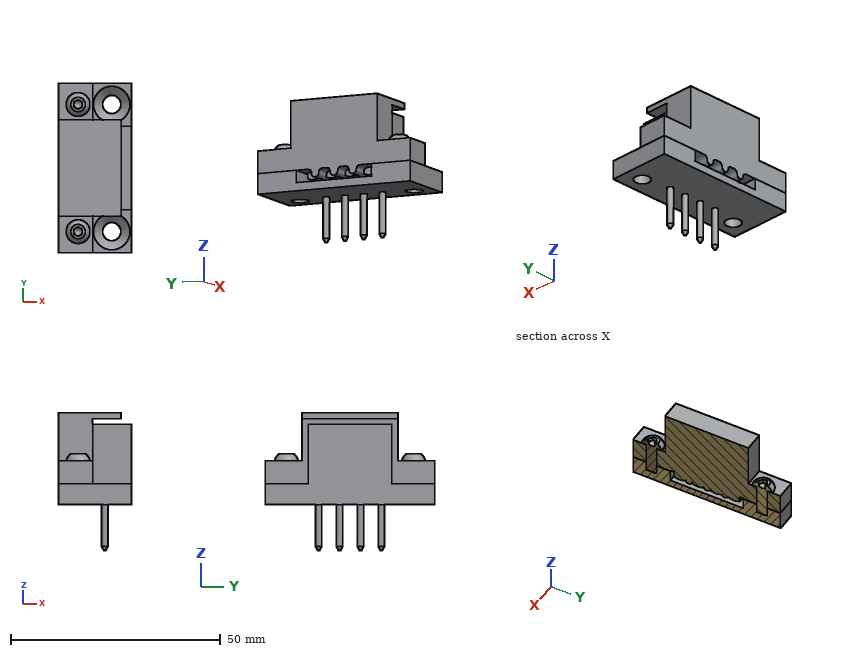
import cadquery as cq
import math

base_depth = 17.5
base_width = 40.6
base_height = 5.0

cover_depth = 8.2
ear_height = 5.5
hood_width = 23.0
hood_top = 22.0
lip_thickness = 1.5
lip_reach = 15.0

block_width = 20.0
block_top = 19.2

slot_width = block_width
slot_floor = 2.0

wire_count = 4
wire_pitch = 5.0
pin_x = 11.1
pin_diameter = 1.6
pin_tip_diameter = 0.5
pin_tip_length = 1.0
pin_length_below_base = 11.0

ridge_diameter = 2.0
ridge_drop = 2.0

pad_width = wire_pitch - ridge_diameter
pad_drop = 1.8
pad_bottom_radius = 3.5
pad_length = cover_depth / 2

fastener_y = 15.2
screw_x = 4.7
shank_diameter = 3.0
shank_length = 8.0
head_diameter = 5.7
head_top_diameter = 3.45
head_height = 1.65
head_bulge = 0.2
socket_across_flats = 2.0
socket_depth = 1.1
drill_point_angle = 120.0
mount_x = 12.75
mount_diameter = 4.3
countersink_diameter = 8.7
countersink_angle = 90.0

ear_top = base_height + ear_height
wire_places = [wire_pitch * (i - (wire_count - 1) / 2) for i in range(wire_count)]
ridge_root_radius = ridge_drop - ridge_diameter / 2
ridge_places = [y + wire_pitch / 2 for y in wire_places[:-1]]
fastener_places = [-fastener_y, fastener_y]


def block(x_range, width, z_range):
    """Box between two x and two z values, centred on y = 0."""
    return cq.Workplane("XY").box(
        x_range[1] - x_range[0], width, z_range[1] - z_range[0], centered=(False, True, False)
    ).translate((x_range[0], 0, z_range[0]))


def make_shank(y):
    return (
        cq.Workplane("XY", origin=(screw_x, y, ear_top - shank_length))
        .circle(shank_diameter / 2)
        .extrude(shank_length)
    )


def make_head():
    """Button head standing on z = 0, with a domed side and a flat top."""
    outer = head_diameter / 2
    inner = head_top_diameter / 2
    slope = math.hypot(outer - inner, head_height)
    dome_mid = (
        (outer + inner) / 2 + head_bulge * head_height / slope,
        head_height / 2 + head_bulge * (outer - inner) / slope,
    )
    return (
        cq.Workplane("XZ")
        .lineTo(outer, 0)
        .threePointArc(dome_mid, (inner, head_height))
        .lineTo(0, head_height)
        .close()
        .revolve(360, (0, 0), (0, 1))
    )


def make_socket():
    """Hexagonal recess with a drill-point floor, cut down from the top of the head."""
    corner_diameter = socket_across_flats / math.cos(math.pi / 6)
    floor_z = head_height - socket_depth
    point_depth = socket_across_flats / 2 / math.tan(math.radians(drill_point_angle / 2))
    hexagon = (
        cq.Workplane("XY", origin=(0, 0, floor_z))
        .transformed(rotate=(0, 0, 90))
        .polygon(6, corner_diameter)
        .extrude(socket_depth)
    )
    point = cq.Workplane(
        cq.Solid.makeCone(0, socket_across_flats / 2, point_depth).translate(
            cq.Vector(0, 0, floor_z - point_depth)
        )
    )
    return hexagon.union(point)


def make_screw(y):
    seat = (screw_x, y, ear_top)
    return make_head().translate(seat).union(make_shank(y)).cut(make_socket().translate(seat))


def make_pin(y):
    """Round pin from the top of the base plate down to a blunt conical tip."""
    radius = pin_diameter / 2
    tip_z = -pin_length_below_base
    return (
        cq.Workplane("XZ", origin=(pin_x, y, 0))
        .moveTo(0, base_height)
        .lineTo(radius, base_height)
        .lineTo(radius, tip_z + pin_tip_length)
        .lineTo(pin_tip_diameter / 2, tip_z)
        .lineTo(0, tip_z)
        .close()
        .revolve(360, (0, 0), (0, 1))
    )


def make_ridge(y):
    """Round-nosed ridge along X, flared into the underside of the cover."""
    nose_radius = ridge_diameter / 2
    nose_z = base_height - ridge_drop
    side_z = nose_z + nose_radius
    root_y = nose_radius + ridge_root_radius
    root_mid_y = root_y - ridge_root_radius * math.sin(math.pi / 4)
    root_mid_z = side_z + ridge_root_radius * math.sin(math.pi / 4)
    return (
        cq.Workplane("YZ", origin=(0, y, 0))
        .moveTo(-root_y, base_height)
        .threePointArc((-root_mid_y, root_mid_z), (-nose_radius, side_z))
        .threePointArc((0, nose_z), (nose_radius, side_z))
        .threePointArc((root_mid_y, root_mid_z), (root_y, base_height))
        .close()
        .extrude(cover_depth)
    )


def make_pad(y):
    """Pad at the back of the cover with a bottom that bulges towards the wire."""
    half = pad_width / 2
    bottom_z = base_height - pad_drop
    side_z = bottom_z + pad_bottom_radius - math.sqrt(pad_bottom_radius**2 - half**2)
    return (
        cq.Workplane("YZ", origin=(cover_depth - pad_length, y, 0))
        .moveTo(-half, base_height)
        .lineTo(-half, side_z)
        .threePointArc((0, bottom_z), (half, side_z))
        .lineTo(half, base_height)
        .close()
        .extrude(pad_length)
    )


def make_cover():
    cover = block((0, cover_depth), base_width, (base_height, ear_top))
    cover = cover.union(block((0, cover_depth), hood_width, (base_height, hood_top)))
    cover = cover.union(block((0, lip_reach), hood_width, (hood_top - lip_thickness, hood_top)))
    for y in ridge_places:
        cover = cover.union(make_ridge(y))
    for y in wire_places:
        cover = cover.union(make_pad(y))
    for y in fastener_places:
        cover = cover.cut(make_shank(y))
    return cover


def make_mounting_hole(y):
    """Countersunk hole through the full height of the base plate."""
    sink_radius = countersink_diameter / 2
    sink_depth = sink_radius / math.tan(math.radians(countersink_angle / 2))
    sink = cq.Solid.makeCone(0, sink_radius, sink_depth)
    hole = cq.Workplane("XY", origin=(mount_x, y, 0)).circle(mount_diameter / 2).extrude(base_height)
    return hole.union(cq.Workplane(sink.translate(cq.Vector(mount_x, y, base_height - sink_depth))))


def make_base():
    base = block((0, base_depth), base_width, (0, base_height))
    base = base.cut(block((0, cover_depth), slot_width, (slot_floor, base_height)))
    base = base.union(block((cover_depth, base_depth), block_width, (base_height, block_top)))
    for y in fastener_places:
        base = base.cut(make_mounting_hole(y))
        base = base.cut(make_shank(y))
    for y in wire_places:
        base = base.cut(make_pin(y))
    return base


base = make_base()
cover = make_cover()
screws = [make_screw(y) for y in fastener_places]
pins = [make_pin(y) for y in wire_places]

result = cq.Compound.makeCompound(
    [base.val(), cover.val(), *[screw.val() for screw in screws], *[pin.val() for pin in pins]]
)